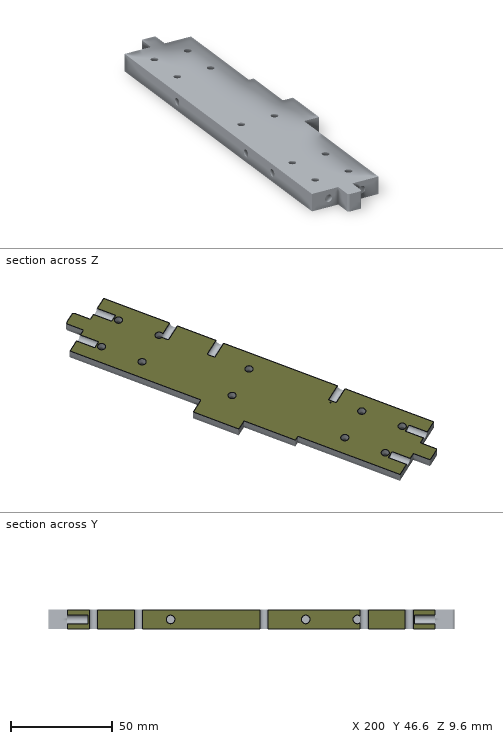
import cadquery as cq

total_length = 200.0
thickness = 9.6
body_start = 9.2
body_end = 190.5
body_width = 38.0

low_step_start = 65.2
high_step_start = 93.5
step_end = 118.6
low_step_y = 40.8
high_step_y = 46.6

tab_width = 8.0
left_corner_radius = 0.6
right_corner_radius = 1.2

hole_diameter = 3.8
row_spacing = 19.0
pair_spacing = 22.2
end_margin = 12.8
middle_hole_x = 106.0
front_hole_positions = (60.0, 126.6, 152.0)
side_hole_diameter = 4.0
side_hole_depth = 10.0

mid_y = body_width / 2
mid_z = thickness / 2
hole_rows = (mid_y - row_spacing / 2, mid_y + row_spacing / 2)
first_hole_x = body_start + end_margin
last_hole_x = body_end - end_margin
hole_columns = (
    first_hole_x,
    first_hole_x + pair_spacing,
    middle_hole_x,
    last_hole_x - pair_spacing,
    last_hole_x,
)


def block(x_start, x_end, y_start, y_end):
    """Full-thickness rectangular block between the given limits."""
    return cq.Workplane("XY").box(
        x_end - x_start, y_end - y_start, thickness, centered=False
    ).translate((x_start, y_start, 0))


def side_hole(x, y, direction):
    """Blind horizontal hole at mid thickness, starting at (x, y)."""
    return cq.Workplane(cq.Solid.makeCylinder(
        side_hole_diameter / 2, side_hole_depth,
        cq.Vector(x, y, mid_z), cq.Vector(*direction),
    ))


plate = block(body_start, body_end, 0, body_width)
plate = plate.union(block(low_step_start, step_end, 0, low_step_y))
plate = plate.union(block(high_step_start, step_end, 0, high_step_y))

tabs = block(0, total_length, mid_y - tab_width / 2, mid_y + tab_width / 2)
tabs = tabs.edges("|Z and <X").fillet(left_corner_radius)
tabs = tabs.edges("|Z and >X").fillet(right_corner_radius)
plate = plate.union(tabs)

hole_centres = [(x, y) for x in hole_columns for y in hole_rows]
plate = plate.cut(
    cq.Workplane("XY").pushPoints(hole_centres).circle(hole_diameter / 2).extrude(thickness)
)

for x in front_hole_positions:
    plate = plate.cut(side_hole(x, 0, (0, 1, 0)))

for y in hole_rows:
    plate = plate.cut(side_hole(body_start, y, (1, 0, 0)))
    plate = plate.cut(side_hole(body_end, y, (-1, 0, 0)))

result = plate